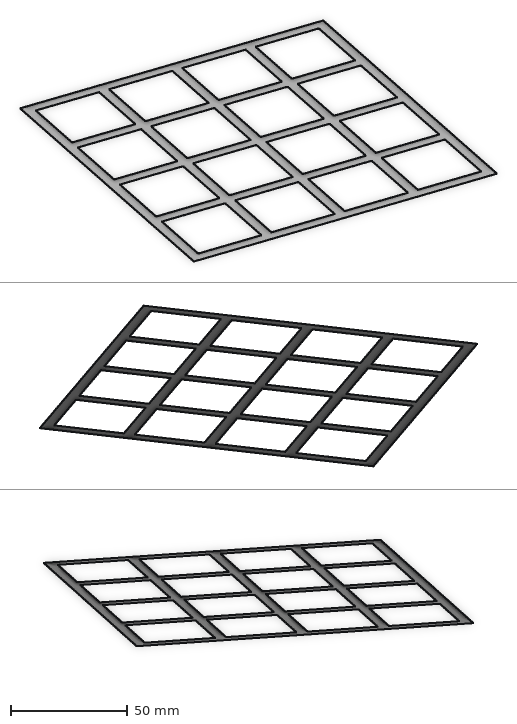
import cadquery as cq

side = 150.0
thickness = 0.2
bar_width = 5.0
windows_per_side = 4

bars_per_side = windows_per_side + 1
window_side = (side - bars_per_side * bar_width) / windows_per_side
window_pitch = window_side + bar_width

sheet = cq.Workplane("XY").box(side, side, thickness)

result = (
    sheet.faces(">Z").workplane()
    .rarray(window_pitch, window_pitch, windows_per_side, windows_per_side)
    .rect(window_side, window_side)
    .cutThruAll()
)